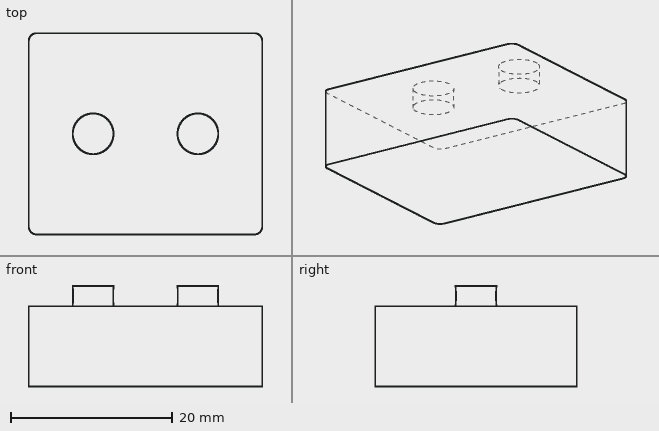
import cadquery as cq

block_length = 29.0
block_width = 25.0
block_height = 10.0
corner_radius = 1.0

peg_end_diameter = 5.1
peg_waist_diameter = 5.0
peg_height = 2.5
peg_spacing = 13.0


def make_block():
    """Rectangular block with its base on Z = 0 and rounded vertical edges."""
    block = cq.Workplane("XY").box(block_length, block_width, block_height, centered=(True, True, False))
    return block.edges("|Z").fillet(corner_radius)


def make_peg(x):
    """Round peg on the top face whose side is a shallow concave arc revolved about its axis."""
    end_radius = peg_end_diameter / 2
    waist_radius = peg_waist_diameter / 2
    return (
        cq.Workplane("XZ", origin=(x, 0, block_height))
        .lineTo(end_radius, 0)
        .threePointArc((waist_radius, peg_height / 2), (end_radius, peg_height))
        .lineTo(0, peg_height)
        .close()
        .revolve(360, (0, 0), (0, 1))
    )


result = make_block()
for side in (-1, 1):
    result = result.union(make_peg(side * peg_spacing / 2))